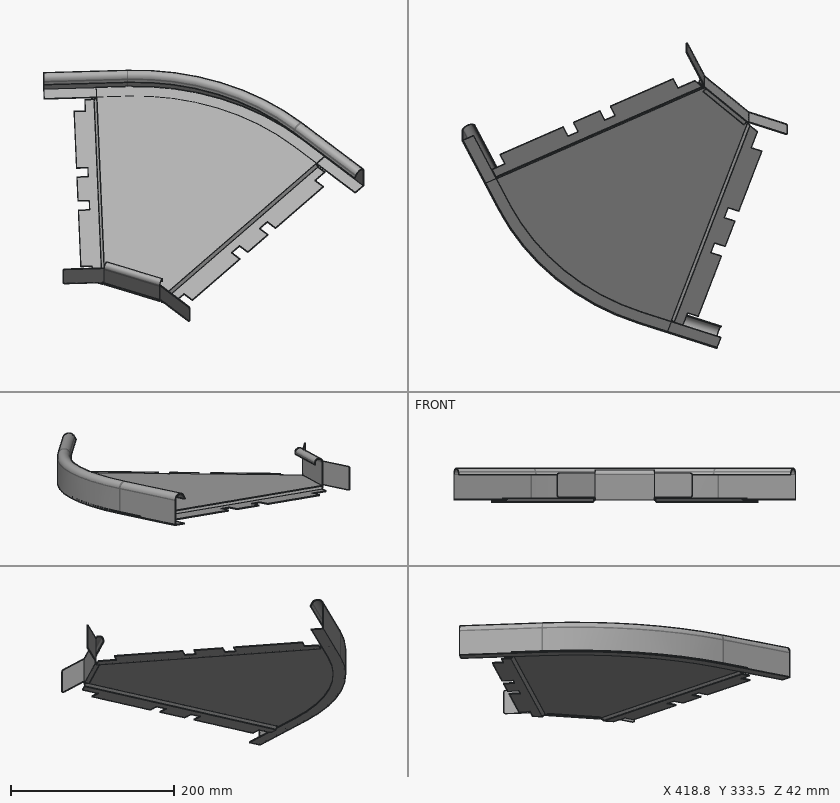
import cadquery as cq
import math


sheet = 1.3
half_bend = 22.5
sin_half = math.sin(math.radians(half_bend))
cos_half = math.cos(math.radians(half_bend))
rail_bottom = 2 * sheet
floor_bottom = rail_bottom + sheet
floor_top = floor_bottom + sheet

overall_length = 418.8
overall_depth = 333.5
outer_top = 42
outer_radius = 300.0
outer_curl_radius = 8.0
outer_curl_angle = 152
outer_lip = 4.0
outer_flange = 15.5
outer_straight = (overall_length / 2 - outer_radius * sin_half) / cos_half

inner_half_width = 36.5
inner_top = 39.5
inner_curl_radius = 5.5
inner_curl_angle = 180
inner_lip = 2.5
inner_flange = 6.3
flange_side_clearance = 3.0
wing_length = 50.0
wing_bottom = 6.3
wing_top = 35.5
wing_corner = 2.5

step_width = 3.5
step_inset = 1.05
strip_gap = 1.3
strip_width = 13.5
tab_width = 27.2
tab_spans = [(29.7, 115.0), (129.5, 165.5), (179.2, 265.0)]

arc_center_y = overall_depth - wing_length * sin_half - outer_radius
side_length = outer_radius + arc_center_y * cos_half - inner_half_width * sin_half

wing_direction = (cos_half, -sin_half, 0)
inner_corner = (inner_half_width, 0, 0)
side_upright = cq.Plane(origin=inner_corner, xDir=wing_direction, normal=(-sin_half, -cos_half, 0))
side_flat = cq.Plane(origin=inner_corner, xDir=wing_direction, normal=(0, 0, 1))


def rail_section(plane, top, flange, curl_radius, curl_angle, lip):
    """Closed sheet section: bottom flange, web on x = 0, curl over the top and a straight lip."""
    turn = math.radians(curl_angle)
    center_z = top - curl_radius
    inside_radius = curl_radius - sheet

    def on_curl(radius, angle):
        return (curl_radius - radius * math.cos(angle), center_z + radius * math.sin(angle))

    def lip_end(radius):
        x, z = on_curl(radius, turn)
        return (x + lip * math.sin(turn), z + lip * math.cos(turn))

    return (
        cq.Workplane(plane)
        .moveTo(0, rail_bottom)
        .lineTo(0, center_z)
        .threePointArc(on_curl(curl_radius, turn / 2), on_curl(curl_radius, turn))
        .lineTo(*lip_end(curl_radius))
        .lineTo(*lip_end(inside_radius))
        .lineTo(*on_curl(inside_radius, turn))
        .threePointArc(on_curl(inside_radius, turn / 2), (sheet, center_z))
        .lineTo(sheet, floor_bottom)
        .lineTo(flange, floor_bottom)
        .lineTo(flange, rail_bottom)
        .close()
    )


def make_outer_rail():
    """Curved rail with a straight stretch at each end, swept along the web's outer face."""
    arc_x = outer_radius * sin_half
    arc_y = arc_center_y + outer_radius * cos_half
    end_x = overall_length / 2
    end_y = arc_y - outer_straight * sin_half
    path = (
        cq.Workplane("XY")
        .moveTo(-end_x, end_y)
        .lineTo(-arc_x, arc_y)
        .threePointArc((0, arc_center_y + outer_radius), (arc_x, arc_y))
        .lineTo(end_x, end_y)
    )
    left_end = cq.Plane(
        origin=(-end_x, end_y, 0), xDir=(sin_half, -cos_half, 0), normal=(-cos_half, -sin_half, 0)
    )
    section = rail_section(
        left_end, outer_top, outer_flange, outer_curl_radius, outer_curl_angle, outer_lip
    )
    return section.sweep(path)


def make_wing():
    """Right-hand wing of the inner rail, turned back by half the bend angle."""
    mitre = sheet * math.tan(math.radians(half_bend / 2))
    return (
        cq.Workplane("XY", origin=(0, 0, wing_bottom))
        .polyline([
            (0, 0),
            (wing_length, 0),
            (wing_length, sheet),
            (-mitre, sheet),
            (-sheet * sin_half, sheet * cos_half),
        ])
        .close()
        .extrude(wing_top - wing_bottom)
        .edges("|Y and >X")
        .fillet(wing_corner)
        .rotate((0, 0, 0), (0, 0, 1), -half_bend)
        .translate(inner_corner)
    )


def make_inner_rail():
    """Straight rail with a wing at each end."""
    right_end = cq.Plane(origin=inner_corner, xDir=(0, 1, 0), normal=(1, 0, 0))
    rail = rail_section(
        right_end, inner_top, inner_flange, inner_curl_radius, inner_curl_angle, inner_lip
    ).extrude(-2 * inner_half_width)
    flange_side = (
        cq.Workplane("XY")
        .box(flange_side_clearance, inner_flange, floor_bottom, centered=False)
        .translate((inner_half_width - flange_side_clearance, sheet, 0))
    )
    wing = make_wing()
    for cutter in (flange_side, flange_side.mirror("YZ")):
        rail = rail.cut(cutter)
    for end_wing in (wing, wing.mirror("YZ")):
        rail = rail.union(end_wing)
    return rail


def make_panel():
    """Flat raised part of the plate, reaching the inside of both webs."""
    inside_radius = outer_radius - sheet
    arc_x = inside_radius * sin_half
    arc_y = arc_center_y + inside_radius * cos_half
    reach = side_length - sheet
    inner_x = inner_half_width + (sheet * sin_half - step_inset) / cos_half
    outer_x = inner_half_width + reach * sin_half - step_inset * cos_half
    outer_y = reach * cos_half + step_inset * sin_half
    return (
        cq.Workplane("XY", origin=(0, 0, floor_bottom))
        .moveTo(-inner_x, sheet)
        .lineTo(inner_x, sheet)
        .lineTo(outer_x, outer_y)
        .lineTo(arc_x, arc_y)
        .threePointArc((0, arc_center_y + inside_radius), (-arc_x, arc_y))
        .lineTo(-outer_x, outer_y)
        .close()
        .extrude(sheet)
    )


def make_side():
    """Right-hand lowered edge of the plate: a sloped step, then a strip that carries tabs."""
    strip_end = side_length - outer_flange - strip_gap
    bend_shift = sheet * math.tan(math.atan2(floor_bottom, step_width) / 2)
    step_foot = step_width - step_inset
    step_start = -step_inset - bend_shift
    stepped_sheet = (
        cq.Workplane(side_upright)
        .polyline([
            (-step_inset, floor_top),
            (step_foot, sheet),
            (tab_width, sheet),
            (tab_width, 0),
            (step_foot - bend_shift, 0),
            (step_start, floor_bottom),
        ])
        .close()
        .extrude(-strip_end)
    )

    def inner_edge(x):
        """Point on the edge along the inner web, at distance x out from the end of the web."""
        return (x, (sheet + x * sin_half) / cos_half)

    outline = [inner_edge(step_start), inner_edge(strip_width)]
    for tab_start, tab_end in tab_spans:
        outline += [
            (strip_width, tab_start),
            (tab_width, tab_start),
            (tab_width, tab_end),
            (strip_width, tab_end),
        ]
    outline += [(strip_width, strip_end), (step_start, strip_end)]
    plan = cq.Workplane(side_flat).polyline(outline).close().extrude(floor_top)
    return stepped_sheet.intersect(plan)


def make_floor():
    """Floor plate: the panel with a lowered edge on both sides."""
    side = make_side()
    return make_panel().union(side).union(side.mirror("YZ"))


floor = make_floor()
outer_rail = make_outer_rail()
inner_rail = make_inner_rail()

result = cq.Compound.makeCompound([*floor.vals(), *outer_rail.vals(), *inner_rail.vals()])